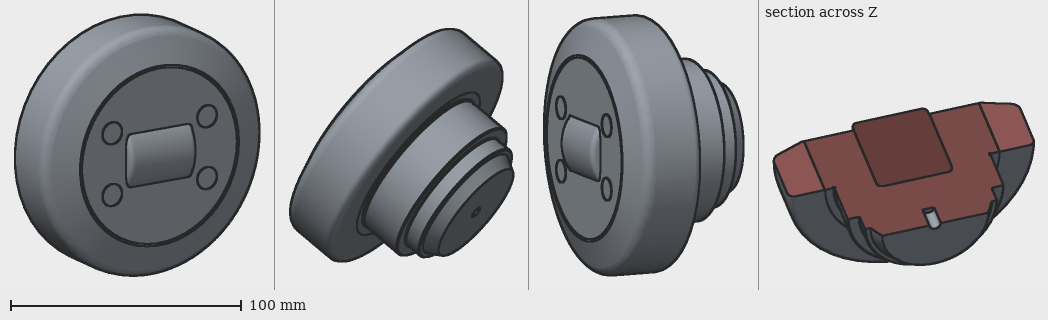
import cadquery as cq
import math


SHOULDER_X = 6.0
COLLAR_X = 14.0
COLLAR_END_X = 33.5
FLANGE_X = 33.9
FACE_X = 65.0
TOTAL_LENGTH = 69.0

RING_RADIUS = 55.9
BORE_RADIUS = 79.0 / 2
RING_FACE_RADIUS = 40.6
RING_CONE_ANGLE = math.radians(20)
NEAR_ROUND = 3.0
FAR_ROUND = 5.0

TIP_RADIUS = 24.0
TIP_CONE_ANGLE = math.radians(30)
SPIGOT_RADIUS = 60.0 / 2
SPIGOT_CHAMFER = 0.5
FLARE_RADIUS = 30.4
FLARE_LENGTH = 0.5
COLLAR_RADIUS = 35.4
COLLAR_CHAMFER = 0.5
GROOVE_RADIUS = 71.5 / 2
GROOVE_DEPTH = 0.5
HOLE_DIAMETER = 5.0
HOLE_DEPTH = 2 * HOLE_DIAMETER

HEAD_DIAMETER = 10.0
HEAD_HEIGHT = 0.3
HEAD_PITCH_RADIUS = 28.0
HEAD_ANGLES = (30, 150, 210, 330)

ROLLER_RADIUS = 20.0
ROLLER_LENGTH = 34.0
ROLLER_ROUND = 2.5


def turned(profile):
    """Revolve a closed profile of (x, radius) about the X axis."""
    return profile.close().revolve(360, (0, 0, 0), (1, 0, 0))


def make_outer_ring():
    cone_length = (RING_RADIUS - RING_FACE_RADIUS) * math.tan(RING_CONE_ANGLE)
    rim_end = FACE_X - cone_length
    ring = turned(
        cq.Workplane("XY")
        .moveTo(FLANGE_X, BORE_RADIUS)
        .lineTo(FLANGE_X, RING_RADIUS)
        .lineTo(rim_end, RING_RADIUS)
        .lineTo(FACE_X, RING_FACE_RADIUS)
        .lineTo(FACE_X, BORE_RADIUS)
    )
    largest_circles = cq.selectors.RadiusNthSelector(-1)
    ring = ring.edges(largest_circles).edges(">X").fillet(FAR_ROUND)
    return ring.edges(largest_circles).edges("<X").fillet(NEAR_ROUND)


def make_side_roller():
    roller_start = (TOTAL_LENGTH - ROLLER_RADIUS, -ROLLER_LENGTH / 2, 0)
    end_plane = cq.Plane(origin=roller_start, xDir=(-1, 0, 0), normal=(0, 1, 0))
    return (
        cq.Workplane(end_plane)
        .circle(ROLLER_RADIUS)
        .extrude(ROLLER_LENGTH)
        .edges("%CIRCLE")
        .fillet(ROLLER_ROUND)
    )


def make_pin_body():
    cone_rise = SHOULDER_X * math.tan(TIP_CONE_ANGLE)
    return turned(
        cq.Workplane("XY")
        .moveTo(0, 0)
        .lineTo(0, TIP_RADIUS)
        .lineTo(SHOULDER_X, TIP_RADIUS + cone_rise)
        .lineTo(SHOULDER_X, SPIGOT_RADIUS - SPIGOT_CHAMFER)
        .lineTo(SHOULDER_X + SPIGOT_CHAMFER, SPIGOT_RADIUS)
        .lineTo(COLLAR_X - FLARE_LENGTH, SPIGOT_RADIUS)
        .lineTo(COLLAR_X, FLARE_RADIUS)
        .lineTo(COLLAR_X, COLLAR_RADIUS - COLLAR_CHAMFER)
        .lineTo(COLLAR_X + COLLAR_CHAMFER, COLLAR_RADIUS)
        .lineTo(COLLAR_END_X - COLLAR_CHAMFER, COLLAR_RADIUS)
        .lineTo(COLLAR_END_X, COLLAR_RADIUS - COLLAR_CHAMFER)
        .lineTo(FLANGE_X + GROOVE_DEPTH, COLLAR_RADIUS - COLLAR_CHAMFER)
        .lineTo(FLANGE_X + GROOVE_DEPTH, GROOVE_RADIUS)
        .lineTo(FLANGE_X, GROOVE_RADIUS)
        .lineTo(FLANGE_X, BORE_RADIUS)
        .lineTo(FACE_X, BORE_RADIUS)
        .lineTo(FACE_X, 0)
    )


def make_round_heads():
    head_centres = [
        (HEAD_PITCH_RADIUS * math.cos(angle), HEAD_PITCH_RADIUS * math.sin(angle))
        for angle in map(math.radians, HEAD_ANGLES)
    ]
    return (
        cq.Workplane("YZ", origin=(FACE_X, 0, 0))
        .pushPoints(head_centres)
        .circle(HEAD_DIAMETER / 2)
        .extrude(HEAD_HEIGHT)
    )


def make_pin(side_roller):
    end_hole = cq.Workplane("YZ").circle(HOLE_DIAMETER / 2).extrude(HOLE_DEPTH)
    return make_pin_body().union(make_round_heads()).cut(end_hole).cut(side_roller)


side_roller = make_side_roller()
outer_ring = make_outer_ring()
pin = make_pin(side_roller)

result = cq.Compound.makeCompound([outer_ring.val(), pin.val(), side_roller.val()])